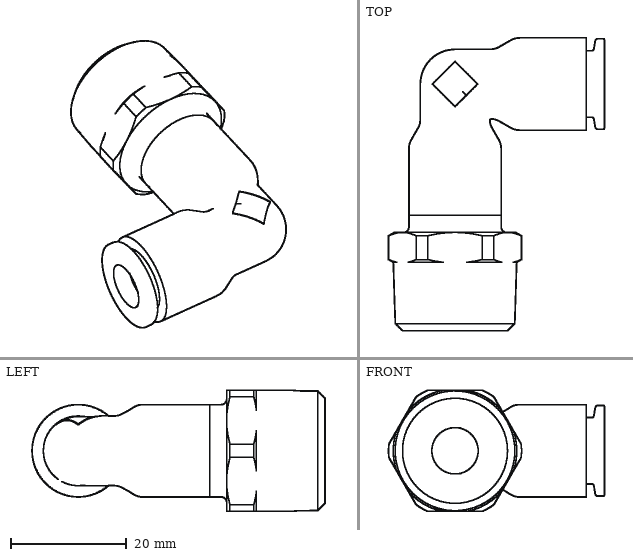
import cadquery as cq
import math


bore_radius = 4.0

neck_radius = 6.05
arm_radius = 8.0
arm_length = 22.75
taper_start = 6.15
taper_angle = math.radians(30)
taper_blend_radius = 3.0
crotch_fillet = 0.3

label_half_diagonal = 3.9
label_depth = 0.1

collar_end = 25.7
collar_fillet = 0.9
hex_width = 21.0
hex_turned_radius = 11.5
hex_end = 30.85
hex_chamfer_angle = math.radians(30)
stud_end = 42.75
thread_taper = 1 / 32
flat_runout = 37.1
thread_chamfer = 1.25

collet_neck_radius = 5.8
collet_neck_blend = 0.2
flange_start = 24.0
flange_back_end = 24.25
flange_back_radius = 7.45
flange_edge = 24.75
flange_face = 25.9
flange_radius = 7.85
flange_rounding = 0.25


def turned_about_y(outline):
    """Revolve an outline, drawn as (radius, y), about the Y axis."""
    return outline.close().revolve(360, (0, 0, 0), (0, 1, 0))


def cylinder_y(radius, length):
    """Cylinder from the origin along -Y."""
    return cq.Workplane("XZ").circle(radius).extrude(length)


def pointed_along_x(body):
    """Turn a body that points along -Y so that it points along +X."""
    return body.rotate((0, 0, 0), (0, 0, 1), 90)


def right_angle_bend(leg, ball_radius):
    """Join a leg along -Y and its copy along +X, with a ball at the outer corner."""
    ball = cq.Workplane("XY").sphere(ball_radius)
    return leg.union(pointed_along_x(leg)).union(ball)


def elbow_arm():
    """Solid arm along -Y: narrow neck, taper blended at both ends, full-width sleeve."""
    blend_length = taper_blend_radius * math.sin(taper_angle)
    blend_rise = taper_blend_radius * (1 - math.cos(taper_angle))
    cone_rise = arm_radius - neck_radius - 2 * blend_rise
    cone_start = taper_start + blend_length
    cone_end = cone_start + cone_rise / math.tan(taper_angle)
    taper_end = cone_end + blend_length

    return turned_about_y(
        cq.Workplane("XY")
        .lineTo(neck_radius, 0)
        .lineTo(neck_radius, -taper_start)
        .tangentArcPoint((neck_radius + blend_rise, -cone_start), relative=False)
        .lineTo(arm_radius - blend_rise, -cone_end)
        .tangentArcPoint((arm_radius, -taper_end), relative=False)
        .lineTo(arm_radius, -arm_length)
        .lineTo(0, -arm_length)
    )


def round_crotch(body):
    """Fillet the inner corner where the two necks meet."""
    inner_corner = cq.selectors.BoxSelector(
        (crotch_fillet, -crotch_fillet, -neck_radius),
        (neck_radius, -neck_radius, neck_radius),
    )
    return body.edges(inner_corner).fillet(crotch_fillet)


def label_recess():
    """Shallow diamond that follows the rounded top of the elbow."""
    corners = [
        (label_half_diagonal, 0),
        (0, label_half_diagonal),
        (-label_half_diagonal, 0),
        (0, -label_half_diagonal),
    ]
    diamond = cq.Workplane("XY").polyline(corners).close().extrude(arm_radius)
    floor_radius = neck_radius - label_depth
    return diamond.cut(right_angle_bend(cylinder_y(floor_radius, taper_start), floor_radius))


def make_elbow():
    body = round_crotch(right_angle_bend(elbow_arm(), neck_radius))
    passage = right_angle_bend(cylinder_y(bore_radius, arm_length), bore_radius)
    return body.cut(passage).cut(label_recess())


def make_stud():
    """Collar, hexagon and tapered thread; the hexagon flats also trim the thread."""
    flat_distance = hex_width / 2
    chamfer_start = stud_end - thread_chamfer
    thread_start_radius = flat_distance + (flat_runout - hex_end) * thread_taper
    thread_end_radius = flat_distance - (chamfer_start - flat_runout) * thread_taper
    chamfer_slope = math.tan(hex_chamfer_angle)
    collar_side_chamfer = (hex_turned_radius - flat_distance) * chamfer_slope
    thread_side_chamfer = (hex_turned_radius - thread_start_radius) * chamfer_slope

    turned = turned_about_y(
        cq.Workplane("XY")
        .moveTo(bore_radius, -arm_length)
        .lineTo(arm_radius, -arm_length)
        .lineTo(arm_radius, -collar_end + collar_fillet)
        .tangentArcPoint((arm_radius + collar_fillet, -collar_end), relative=False)
        .lineTo(flat_distance, -collar_end)
        .lineTo(hex_turned_radius, -collar_end - collar_side_chamfer)
        .lineTo(hex_turned_radius, -hex_end + thread_side_chamfer)
        .lineTo(thread_start_radius, -hex_end)
        .lineTo(thread_end_radius, -chamfer_start)
        .lineTo(thread_end_radius - thread_chamfer, -stud_end)
        .lineTo(bore_radius, -stud_end)
    )
    corner_diameter = hex_width / math.cos(math.pi / 6)
    hexagon = cq.Workplane("XZ").polygon(6, corner_diameter).extrude(stud_end)
    return turned.intersect(hexagon)


def make_collet():
    """Sleeve with a rounded release flange, seated on the end of the tube arm."""
    collet = turned_about_y(
        cq.Workplane("XY")
        .moveTo(bore_radius, -flange_face)
        .lineTo(flange_radius - flange_rounding, -flange_face)
        .tangentArcPoint((flange_radius, -flange_face + flange_rounding), relative=False)
        .lineTo(flange_radius, -flange_edge)
        .tangentArcPoint((flange_back_radius, -flange_back_end), relative=False)
        .lineTo(collet_neck_radius + collet_neck_blend, -flange_start)
        .tangentArcPoint((collet_neck_radius, -flange_start + collet_neck_blend), relative=False)
        .lineTo(collet_neck_radius, -arm_length)
        .lineTo(bore_radius, -arm_length)
    )
    return pointed_along_x(collet)


elbow = make_elbow()
stud = make_stud()
collet = make_collet()

result = cq.Compound.makeCompound([elbow.val(), stud.val(), collet.val()])